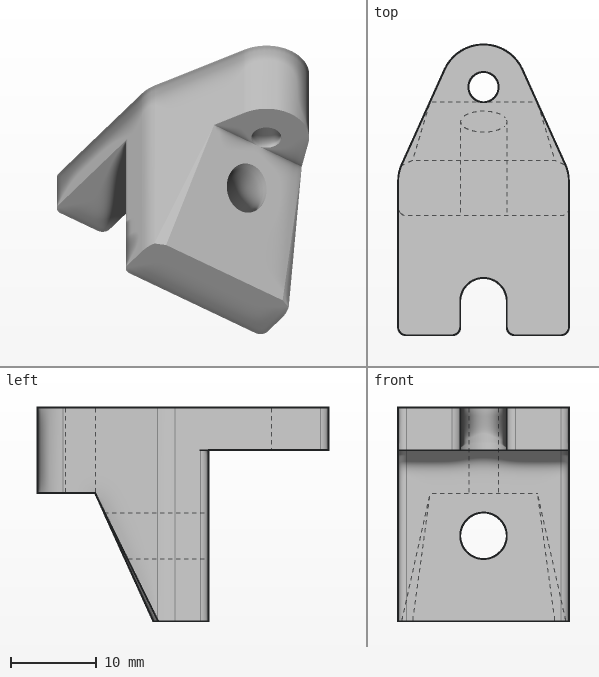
import cadquery as cq
import math

length = 34.0
width = 20.0
height = 25.0
plate_thickness = 5.0
lobe_thickness = 10.0
lobe_radius = 5.0
shoulder_y = 19.0
shoulder_radius = 5.0
corner_radius = 1.0
wall_front_y = 14.0
lobe_hole_diameter = 3.5
slot_width = 5.4
slot_depth = 6.7
wall_hole_diameter = 5.4
wall_hole_z = 10.0

slope_top_y = 27.27
slope_foot_y = 20.47
bevel_side_y = 19.9
bevel_back_width = 1.02

half_width = width / 2
lobe_center_y = length - lobe_radius
lobe_bottom_z = height - lobe_thickness
plate_bottom_z = height - plate_thickness

shoulder_drop = lobe_center_y - shoulder_y
shoulder_distance = math.hypot(half_width, shoulder_drop)
taper_angle = math.atan2(half_width, shoulder_drop) - math.asin(lobe_radius / shoulder_distance)
touch_x = lobe_radius * math.cos(taper_angle)
touch_y = lobe_center_y + lobe_radius * math.sin(taper_angle)


def taper_x(y):
    """Half width of the part at y along the straight tapered side."""
    return half_width - (y - shoulder_y) * math.tan(taper_angle)


def outline_block(front_y, bottom_z, top_z):
    """Upright block with the tapered, lobed outline, starting at front_y."""
    return (
        cq.Workplane("XY", origin=(0, 0, bottom_z))
        .moveTo(-half_width, front_y)
        .lineTo(half_width, front_y)
        .lineTo(half_width, shoulder_y)
        .lineTo(touch_x, touch_y)
        .threePointArc((0, length), (-touch_x, touch_y))
        .lineTo(-half_width, shoulder_y)
        .close()
        .extrude(top_z - bottom_z)
        .edges(cq.selectors.BoxSelector(
            (-width, shoulder_y - 0.35, bottom_z - 0.35), (width, shoulder_y + 0.35, top_z + 0.35)))
        .edges("|Z")
        .fillet(shoulder_radius)
        .edges("|Z and <Y")
        .fillet(corner_radius)
    )


def slotted_plate():
    """Top plate with an open, round-ended slot in its front edge."""
    slot_radius = slot_width / 2
    slot_center_y = slot_depth - slot_radius
    slot = (
        cq.Workplane("XY", origin=(0, 0, plate_bottom_z))
        .moveTo(-slot_radius, 0)
        .lineTo(slot_radius, 0)
        .lineTo(slot_radius, slot_center_y)
        .threePointArc((0, slot_depth), (-slot_radius, slot_center_y))
        .close()
        .extrude(plate_thickness)
    )
    plate = outline_block(0, plate_bottom_z, height).cut(slot)
    mouth = cq.selectors.BoxSelector(
        (-slot_radius - 0.35, -0.35, 0), (slot_radius + 0.35, 0.35, height))
    return plate.edges(mouth).edges("|Z").fillet(corner_radius)


def bevel_cutter(side):
    """Block that trims one corner between the tapered side and the sloped back."""
    top = cq.Vector(side * taper_x(slope_top_y), slope_top_y, lobe_bottom_z)
    side_foot = cq.Vector(side * taper_x(bevel_side_y), bevel_side_y, 0)
    back_foot = cq.Vector(side * (taper_x(slope_foot_y) - bevel_back_width), slope_foot_y, 0)
    along = side_foot - top
    outward = along.cross(back_foot - top) * side
    plane = cq.Plane(origin=top.toTuple(), xDir=along.toTuple(), normal=outward.toTuple())
    return cq.Workplane(plane).rect(2 * length, 2 * length).extrude(length)


def sloped_wall():
    """Lower part of the wall, with its back sloping in toward the foot."""
    wall = outline_block(wall_front_y, 0, lobe_bottom_z)
    behind_slope = (
        cq.Workplane("YZ")
        .polyline([
            (slope_foot_y, 0),
            (slope_top_y, lobe_bottom_z),
            (length, lobe_bottom_z),
            (length, 0),
        ])
        .close()
        .extrude(half_width, both=True)
    )
    wall = wall.cut(behind_slope)
    for side in (-1, 1):
        wall = wall.cut(bevel_cutter(side))
    return wall


def wall_hole():
    return (
        cq.Workplane("XZ", origin=(0, 0, wall_hole_z))
        .circle(wall_hole_diameter / 2)
        .extrude(-length)
    )


def lobe_hole():
    return (
        cq.Workplane("XY")
        .center(0, lobe_center_y)
        .circle(lobe_hole_diameter / 2)
        .extrude(height)
    )


lobe_block = outline_block(wall_front_y, lobe_bottom_z, height)
body = slotted_plate().union(lobe_block).union(sloped_wall()).clean()
result = body.cut(wall_hole()).cut(lobe_hole())